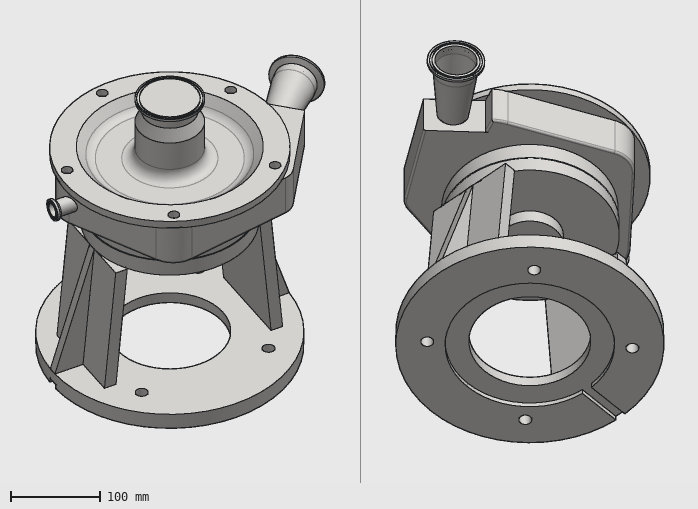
import cadquery as cq
import math

base_radius = 150.0
base_thickness = 20.0
base_bore_radius = 68.2
base_hole_circle = 114.8
base_hole_radius = 7.2
base_hole_count = 4
base_hole_start = 45
spigot_radius = 94.7
spigot_depth = 6.0
drain_width = 13.5

ring_bottom = 179.2
ring_step = 199.5
ring_lower_radius = 100.0
ring_upper_radius = 99.0
hub_bottom = 162.5
hub_radius = 37.5
leg_half_width = 54.5
leg_thickness = 14.8
leg_inner_foot = 99.3
leg_inner_top = 85.0
rib_width = 10.5

casing_bottom = 222.5
casing_top = 274.0
casing_corner_radius = 34.0
casing_edge_radius = 2.5
outlet_corner_radius = 23.0
casing_flat_offset = 114.8
flat_pitch = 360 / 5
right_flat = (9, casing_flat_offset)
front_flat = (right_flat[0] - flat_pitch, casing_flat_offset)
front_left_flat = (right_flat[0] - 2 * flat_pitch, casing_flat_offset)
left_flat = (right_flat[0] - 3 * flat_pitch, casing_flat_offset)
outlet_back_flat = (54, 140.5)
outlet_face = (135, 115.0)
tongue_flat = (65, 91.0)
tongue_start_y = 113.5
tongue_tip_x = -60.2

cover_top = 283.5
cover_radius = 134.5
cover_hole_circle = 122.5
cover_hole_radius = 6.5
cover_hole_count = 5
cover_hole_start = 45
recess_rim_radius = 104.5
recess_cone_radius = 94.0
recess_floor_radius = 83.5
recess_depth = 16.3
recess_wall_angle = 45

neck_radius = 39.0
neck_root_radius = 14.8
neck_cone_bottom = 319.5
neck_cone_top = 335.0
neck_pipe_radius = 32.0
neck_top = 353.0
neck_groove_inner = 34.0
neck_groove_outer = 37.0

nozzle_side_offset = 91.3
nozzle_height = (casing_bottom + casing_top) / 2
nozzle_end = 199.5
nozzle_cone_end = 182.2
nozzle_root_radius = 17.8
nozzle_pipe_radius = 25.0
nozzle_flange_radius = 32.2
nozzle_groove_inner = 27.0
nozzle_groove_outer = 29.5
nozzle_wall = 1.5
nozzle_bore_cone_end = 187.5
nozzle_root_chamfer = 2.3

port_height = 250.8
port_end = 150.5
port_pipe_radius = 10.0
port_bore_radius = 8.0
port_flange_radius = 13.0
port_groove_inner = 9.5
port_groove_outer = 11.0

clamp_rim = 3.0
clamp_bevel = 3.0
groove_depth = 1.5

overlap = 3.8


def disc(radius, bottom, top):
    return cq.Workplane("XY").workplane(offset=bottom).circle(radius).extrude(top - bottom)


def turned(points):
    """Solid of revolution about Z from a (radius, height) outline."""
    return cq.Workplane("XZ").polyline(points).close().revolve(360, (0, 0, 0), (0, 1, 0))


def clamp_end(pipe_radius, flange_radius, groove_inner, groove_outer, end):
    """Outline points of a bevelled clamp flange with a seal groove, from the pipe to the axis."""
    bevel_top = end - clamp_rim
    groove_floor = end - groove_depth
    return [
        (pipe_radius, bevel_top - clamp_bevel),
        (flange_radius, bevel_top),
        (flange_radius, end),
        (groove_outer, end),
        (groove_outer, groove_floor),
        (groove_inner, groove_floor),
        (groove_inner, end),
        (0, end),
    ]


def hole_ring(circle, radius, count, start, bottom, top):
    """Evenly spaced pins to cut as holes, the first at the start angle."""
    return (
        cq.Workplane("XY")
        .workplane(offset=bottom)
        .polarArray(circle, start, 360, count)
        .circle(radius)
        .extrude(top - bottom)
    )


def meet(flat_a, flat_b):
    """Plan point where two casing flats cross."""
    angle_a, offset_a = math.radians(flat_a[0]), flat_a[1]
    angle_b, offset_b = math.radians(flat_b[0]), flat_b[1]
    scale = math.sin(angle_b - angle_a)
    x = (offset_a * math.sin(angle_b) - offset_b * math.sin(angle_a)) / scale
    y = (offset_b * math.cos(angle_a) - offset_a * math.cos(angle_b)) / scale
    return x, y


def base_plate():
    plate = disc(base_radius, 0, base_thickness).cut(disc(base_bore_radius, 0, base_thickness))
    plate = plate.cut(
        hole_ring(base_hole_circle, base_hole_radius, base_hole_count, base_hole_start, 0, base_thickness)
    )
    plate = plate.cut(disc(spigot_radius, 0, spigot_depth))
    drain = cq.Workplane("XY").box(drain_width, base_radius, spigot_depth, centered=(True, False, False))
    return plate.cut(drain.translate((0, -base_radius, 0)))


def leg():
    """Leaning plate with a triangular rib, on the +Y side."""
    foot_outer = leg_inner_foot + leg_thickness
    top_outer = leg_inner_top + leg_thickness
    plate_outline = [
        (leg_inner_foot, base_thickness),
        (foot_outer, base_thickness),
        (top_outer, ring_bottom),
        (leg_inner_top, ring_bottom),
    ]
    rib_outline = [
        (leg_inner_foot, base_thickness),
        (base_radius, base_thickness),
        (top_outer, ring_bottom),
        (leg_inner_top, ring_bottom),
    ]
    plate = cq.Workplane("YZ").polyline(plate_outline).close().extrude(leg_half_width, both=True)
    rib = cq.Workplane("YZ").polyline(rib_outline).close().extrude(rib_width / 2, both=True)
    return plate.union(rib)


def casing():
    """Volute body: five-sided plan with rounded corners, drawn out to a tangential outlet block."""
    left_angle = math.radians(left_flat[0])
    tongue_angle = math.radians(tongue_flat[0])
    tongue_start = (
        (left_flat[1] - tongue_start_y * math.sin(left_angle)) / math.cos(left_angle),
        tongue_start_y,
    )
    tongue_tip = (
        tongue_tip_x,
        (tongue_flat[1] - tongue_tip_x * math.cos(tongue_angle)) / math.sin(tongue_angle),
    )
    outlet_corner = meet(outlet_back_flat, right_flat)
    plain_corners = [
        meet(right_flat, front_flat),
        meet(front_flat, front_left_flat),
        meet(front_left_flat, left_flat),
    ]
    outline = (
        cq.Workplane("XY")
        .workplane(offset=casing_bottom)
        .moveTo(*meet(front_left_flat, left_flat))
        .lineTo(*tongue_start)
        .tangentArcPoint(tongue_tip, relative=False)
        .lineTo(*meet(tongue_flat, outlet_face))
        .lineTo(*meet(outlet_face, outlet_back_flat))
        .lineTo(*outlet_corner)
    )
    for corner in plain_corners[:-1]:
        outline = outline.lineTo(*corner)
    body = outline.close().extrude(casing_top - casing_bottom)

    for corner in plain_corners:
        body = body.edges(cq.NearestToPointSelector((*corner, nozzle_height))).fillet(casing_corner_radius)
    body = body.edges(cq.NearestToPointSelector((*outlet_corner, nozzle_height))).fillet(outlet_corner_radius)

    face_angle = math.radians(outlet_face[0])
    face_direction = cq.Vector(math.cos(face_angle), math.sin(face_angle), 0)
    outlet_edge = body.faces(cq.DirectionSelector(face_direction)).edges("<Z").val()
    lower_edges = body.faces("<Z").edges().filter(lambda edge: not edge.isSame(outlet_edge))
    return lower_edges.fillet(casing_edge_radius)


def cover_recess():
    """Dished recess with a conical wall, a rounded floor edge and a fillet up to the neck."""
    floor = cover_top - recess_depth
    wall_slope = math.tan(math.radians(recess_wall_angle))
    cone_foot = cover_top - (recess_rim_radius - recess_cone_radius) * wall_slope
    return (
        cq.Workplane("XZ")
        .moveTo(neck_radius, cover_top + overlap)
        .lineTo(recess_rim_radius, cover_top + overlap)
        .lineTo(recess_rim_radius, cover_top)
        .lineTo(recess_cone_radius, cone_foot)
        .tangentArcPoint((recess_floor_radius, floor), relative=False)
        .lineTo(neck_radius + neck_root_radius, floor)
        .tangentArcPoint((neck_radius, floor + neck_root_radius), relative=False)
        .close()
        .revolve(360, (0, 0, 0), (0, 1, 0))
    )


def neck():
    return turned(
        [
            (0, casing_top),
            (neck_radius, casing_top),
            (neck_radius, neck_cone_bottom),
            (neck_pipe_radius, neck_cone_top),
        ]
        + clamp_end(neck_pipe_radius, neck_radius, neck_groove_inner, neck_groove_outer, neck_top)
    )


def place_nozzle(shape):
    """Turn a shape from the Z axis to the outlet axis."""
    side_angle = math.radians(outlet_face[0] - 90)
    shift = (
        nozzle_side_offset * math.cos(side_angle),
        nozzle_side_offset * math.sin(side_angle),
        nozzle_height,
    )
    tilted = shape.rotate((0, 0, 0), (0, 1, 0), 90)
    return tilted.rotate((0, 0, 0), (0, 0, 1), outlet_face[0]).translate(shift)


def nozzle():
    root = outlet_face[1]
    neck_down_radius = nozzle_root_radius - nozzle_root_chamfer
    bore_radius = nozzle_pipe_radius - nozzle_wall
    flange = clamp_end(
        nozzle_pipe_radius, nozzle_flange_radius, nozzle_groove_inner, nozzle_groove_outer, nozzle_end
    )
    outer = turned(
        [
            (0, root - overlap),
            (neck_down_radius, root - overlap),
            (neck_down_radius, root),
            (nozzle_root_radius, root + nozzle_root_chamfer),
            (nozzle_pipe_radius, nozzle_cone_end),
        ]
        + flange
    )
    bore = turned(
        [
            (0, root),
            (neck_down_radius - nozzle_wall, root),
            (bore_radius, nozzle_bore_cone_end),
            (bore_radius, nozzle_end),
            (0, nozzle_end),
        ]
    )
    return place_nozzle(outer.cut(bore))


def port():
    root = casing_flat_offset
    outer = turned(
        [(0, root - overlap), (port_pipe_radius, root - overlap)]
        + clamp_end(port_pipe_radius, port_flange_radius, port_groove_inner, port_groove_outer, port_end)
    )
    bore = disc(port_bore_radius, root, port_end)
    return outer.cut(bore).rotate((0, 0, 0), (1, 0, 0), 90).translate((0, 0, port_height))


result = base_plate()
for turn in (0, 180):
    result = result.union(leg().rotate((0, 0, 0), (0, 0, 1), turn))
result = result.union(disc(hub_radius, hub_bottom, ring_step))
result = result.union(disc(ring_lower_radius, ring_bottom, ring_step))
result = result.union(disc(ring_upper_radius, ring_step, casing_bottom + overlap))

cover = disc(cover_radius, casing_top, cover_top).cut(
    hole_ring(cover_hole_circle, cover_hole_radius, cover_hole_count, cover_hole_start, casing_top, cover_top)
)
result = result.union(casing()).union(cover).cut(cover_recess())
result = result.union(neck()).union(nozzle()).union(port())